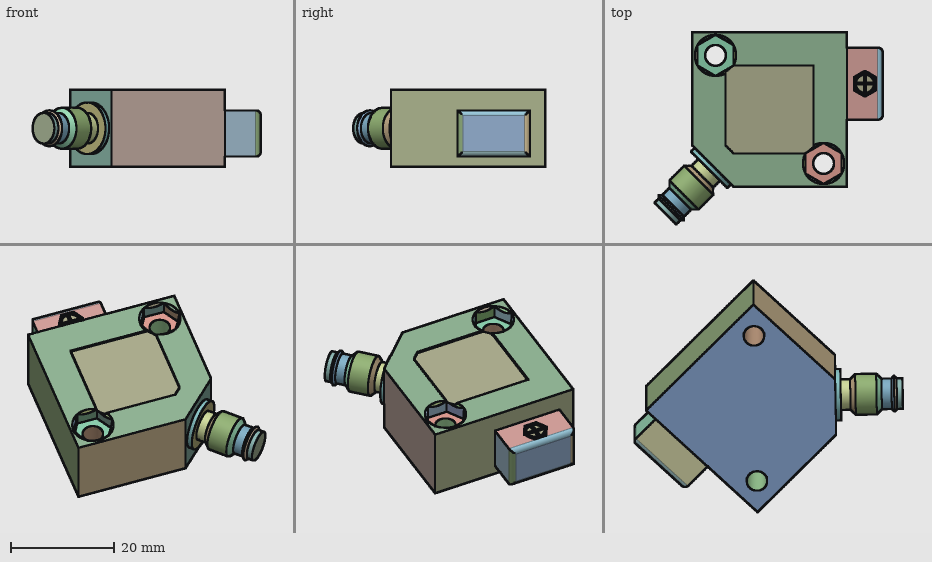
import cadquery as cq
import math

OVERALL_LENGTH = 44.3

BODY_SIDE = 30.0
BODY_HEIGHT = 15.0
CORNER_CUT = 8.0

LABEL_SIDE = 17.0
LABEL_CORNER_CUT = 1.5
LABEL_DEPTH = 0.3

MOUNT_INSET = 4.5
MOUNT_HOLE_DIAMETER = 4.0
NUT_CORNER_DIAMETER = 8.0
NUT_DEPTH = 2.8
LEAD_IN_ANGLE = 45.0

BLOCK_LENGTH = 7.0
BLOCK_WIDTH = 14.0
BLOCK_HEIGHT = 9.0
BLOCK_BASE = 2.0
BLOCK_Y_INSET = 3.0
BLOCK_ROUNDING = 1.0

SCREW_POCKET_CORNER_DIAMETER = 5.0
SCREW_POCKET_DEPTH = 0.4
SCREW_HEAD_DIAMETER = 4.0
SCREW_TOP_DIAMETER = 3.55
SCREW_SLOT_LENGTH = 3.3
SCREW_SLOT_WIDTH = 0.4
SCREW_SLOT_DEPTH = 0.2

FLANGE_DIAMETER = 10.0
FLANGE_THICKNESS = 1.0
STEM_DIAMETER = 6.0
COLLAR_DIAMETER = 7.98
COLLAR_START = 2.9
COLLAR_END = 8.95
RIDGE_DIAMETER = 7.0
RIDGE_CENTRE = 11.4

BODY_CENTRE = BODY_SIDE / 2
BLOCK_TOP = BLOCK_BASE + BLOCK_HEIGHT
BLOCK_END = BODY_SIDE + BLOCK_LENGTH


def cut_corner_square(side, corner_cut, height):
    """Square prism standing on the origin, with its (-X, -Y) corner cut at 45 degrees."""
    return (
        cq.Workplane("XY")
        .moveTo(corner_cut, 0)
        .lineTo(side, 0)
        .lineTo(side, side)
        .lineTo(0, side)
        .lineTo(0, corner_cut)
        .close()
        .extrude(height)
    )


def hexagon_prism(corner_diameter, height):
    """Hexagonal prism standing on the origin, with corners towards +Y and -Y."""
    prism = cq.Workplane("XY").polygon(6, corner_diameter).extrude(height)
    return prism.rotate((0, 0, 0), (0, 0, 1), 90)


def label_recess():
    offset = BODY_CENTRE - LABEL_SIDE / 2
    recess = cut_corner_square(LABEL_SIDE, LABEL_CORNER_CUT, LABEL_DEPTH)
    return recess.translate((offset, offset, BODY_HEIGHT - LABEL_DEPTH))


def mounting_cutter():
    """Through hole, hexagonal nut pocket and conical lead-in around the pocket rim."""
    hole = cq.Workplane("XY").circle(MOUNT_HOLE_DIAMETER / 2).extrude(BODY_HEIGHT)
    pocket_floor = BODY_HEIGHT - NUT_DEPTH
    pocket = hexagon_prism(NUT_CORNER_DIAMETER, NUT_DEPTH).translate((0, 0, pocket_floor))
    rim_radius = NUT_CORNER_DIAMETER / 2
    cone_depth = rim_radius * math.tan(math.radians(LEAD_IN_ANGLE))
    lead_in = (
        cq.Workplane("XZ")
        .moveTo(0, BODY_HEIGHT)
        .lineTo(rim_radius, BODY_HEIGHT)
        .lineTo(0, BODY_HEIGHT - cone_depth)
        .close()
        .revolve(360, (0, 0, 0), (0, 1, 0))
    )
    lead_in = lead_in.intersect(
        cq.Workplane("XY").workplane(offset=pocket_floor).circle(rim_radius).extrude(NUT_DEPTH)
    )
    return hole.union(pocket).union(lead_in)


def housing():
    body = cut_corner_square(BODY_SIDE, CORNER_CUT, BODY_HEIGHT).cut(label_recess())
    far = BODY_SIDE - MOUNT_INSET
    for x, y in ((MOUNT_INSET, far), (far, MOUNT_INSET)):
        body = body.cut(mounting_cutter().translate((x, y, 0)))
    return body


def screw():
    """Bevelled screw head as tall as its pocket, standing on the origin, with a cross slot in its top."""
    taper = (SCREW_HEAD_DIAMETER - SCREW_TOP_DIAMETER) / 2
    head = (
        cq.Workplane("XY")
        .circle(SCREW_HEAD_DIAMETER / 2)
        .extrude(SCREW_POCKET_DEPTH)
        .faces(">Z")
        .chamfer(taper)
    )
    for length, width in (
        (SCREW_SLOT_LENGTH, SCREW_SLOT_WIDTH),
        (SCREW_SLOT_WIDTH, SCREW_SLOT_LENGTH),
    ):
        slot = cq.Workplane("XY").rect(length, width).extrude(SCREW_SLOT_DEPTH)
        head = head.cut(slot.translate((0, 0, SCREW_POCKET_DEPTH - SCREW_SLOT_DEPTH)))
    return head


def side_block():
    y_max = BODY_SIDE - BLOCK_Y_INSET
    y_centre = y_max - BLOCK_WIDTH / 2
    x_centre = BODY_SIDE + BLOCK_LENGTH / 2
    block = (
        cq.Workplane("XY")
        .box(BLOCK_LENGTH, BLOCK_WIDTH, BLOCK_HEIGHT, centered=(True, True, False))
        .translate((x_centre, y_centre, BLOCK_BASE))
        .faces(">X")
        .edges()
        .fillet(BLOCK_ROUNDING)
    )
    screw_seat = (x_centre, y_centre, BLOCK_TOP - SCREW_POCKET_DEPTH)
    pocket = hexagon_prism(SCREW_POCKET_CORNER_DIAMETER, SCREW_POCKET_DEPTH)
    return block.cut(pocket.translate(screw_seat)).union(screw().translate(screw_seat))


def connector():
    stem = STEM_DIAMETER / 2
    flange = FLANGE_DIAMETER / 2
    collar = COLLAR_DIAMETER / 2
    ridge = RIDGE_DIAMETER / 2
    cone = collar - stem
    ridge_cone = ridge - stem
    tip_reach = OVERALL_LENGTH - BLOCK_END + CORNER_CUT / 2
    tip = tip_reach * math.sqrt(2) - stem
    profile = (
        cq.Workplane("XZ")
        .moveTo(0, 0)
        .lineTo(flange, 0)
        .lineTo(flange, FLANGE_THICKNESS)
        .lineTo(stem, FLANGE_THICKNESS)
        .lineTo(stem, COLLAR_START)
        .lineTo(collar, COLLAR_START + cone)
        .lineTo(collar, COLLAR_END - cone)
        .lineTo(stem, COLLAR_END)
        .lineTo(stem, RIDGE_CENTRE - ridge_cone)
        .lineTo(ridge, RIDGE_CENTRE)
        .lineTo(stem, RIDGE_CENTRE + ridge_cone)
        .lineTo(stem, tip)
        .lineTo(0, tip)
        .close()
    )
    return (
        profile.revolve(360, (0, 0, 0), (0, 1, 0))
        .rotate((0, 0, 0), (0, 1, 0), -90)
        .rotate((0, 0, 0), (0, 0, 1), 45)
        .translate((CORNER_CUT / 2, CORNER_CUT / 2, BODY_HEIGHT / 2))
    )


result = housing().union(side_block()).union(connector())